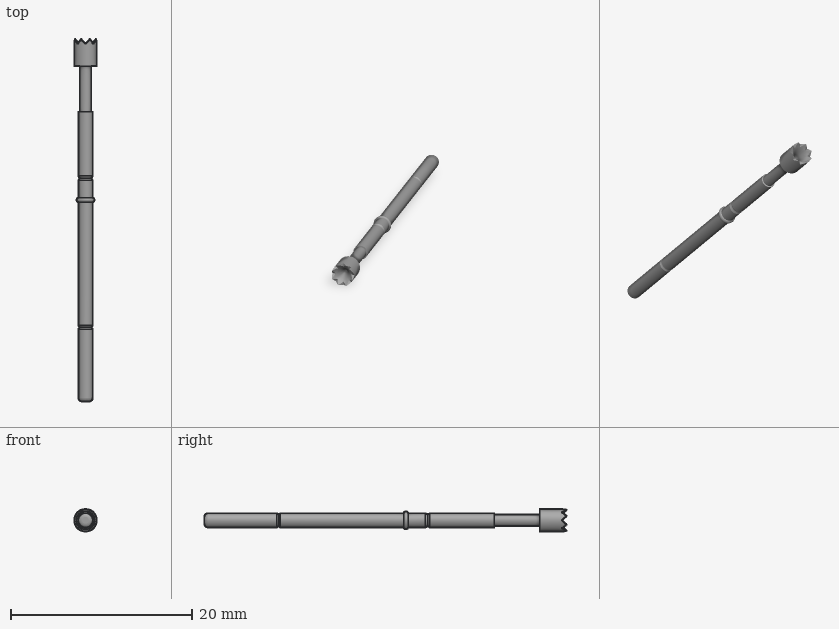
import cadquery as cq
import math

total_length = 40.0

head_radius = 1.25
head_length = 3.0
tooth_count = 8
tooth_pitch = 2 * math.pi / tooth_count
tooth_depth = 0.55
recess_depth = 1.5 * head_radius

plunger_radius = 0.65
barrel_start = 8.0
barrel_radius = 0.8

groove_depth = 0.15
front_groove_centre = 15.35
front_groove_width = 0.5
rear_groove_centre = 31.8
rear_groove_width = 0.4

ring_centre = 17.75
ring_radius = 1.0
ring_width = 0.5

tail_length = 0.4
tail_flat_radius = 0.375


def cylinder(radius, start, end):
    """Solid cylinder on the probe axis between two distances behind the tip."""
    return cq.Workplane("XZ", origin=(0, -start, 0)).circle(radius).extrude(end - start)


def revolve_about_axis(profile):
    """Turn an XY profile (X is the radius) about the probe axis."""
    return profile.close().revolve(360, (0, 0, 0), (0, 1, 0))


def make_head():
    """Cylindrical head with V cuts across its full diameter and a conical recess, leaving a ring of teeth."""
    recess = revolve_about_axis(
        cq.Workplane("XY")
        .moveTo(0, 0)
        .lineTo(head_radius, 0)
        .lineTo(0, -recess_depth)
    )
    head = cylinder(head_radius, 0, head_length).cut(recess)
    half_width = head_radius * math.sin(tooth_pitch / 2)
    cut_reach = 2 * head_radius
    v_cut = (
        cq.Workplane("XY")
        .moveTo(-half_width, 0)
        .lineTo(half_width, 0)
        .lineTo(0, -tooth_depth)
        .close()
        .extrude(cut_reach, both=True)
    )
    for index in range(tooth_count // 2):
        angle = math.degrees(index * tooth_pitch)
        head = head.cut(v_cut.rotate((0, 0, 0), (0, 1, 0), angle))
    return head


def make_barrel():
    """Solid barrel ending in a rounded tail with a small flat."""
    tail_start = total_length - tail_length
    arc_share = math.sqrt(0.5)
    tail_mid_radius = tail_flat_radius + (barrel_radius - tail_flat_radius) * arc_share
    tail_mid = tail_start + tail_length * arc_share
    return revolve_about_axis(
        cq.Workplane("XY")
        .moveTo(0, -barrel_start)
        .lineTo(barrel_radius, -barrel_start)
        .lineTo(barrel_radius, -tail_start)
        .threePointArc((tail_mid_radius, -tail_mid), (tail_flat_radius, -total_length))
        .lineTo(0, -total_length)
    )


def make_groove(centre, width):
    """Ring-shaped cutter with a V section."""
    return revolve_about_axis(
        cq.Workplane("XY")
        .moveTo(barrel_radius, -centre + width / 2)
        .lineTo(barrel_radius - groove_depth, -centre)
        .lineTo(barrel_radius, -centre - width / 2)
    )


def make_ring():
    """Press ring with a fully rounded rim."""
    rim_radius = ring_width / 2
    shoulder = ring_radius - rim_radius
    front = -ring_centre + rim_radius
    rear = -ring_centre - rim_radius
    return revolve_about_axis(
        cq.Workplane("XY")
        .moveTo(0, front)
        .lineTo(shoulder, front)
        .threePointArc((ring_radius, -ring_centre), (shoulder, rear))
        .lineTo(0, rear)
    )


barrel = make_barrel()
barrel = barrel.cut(make_groove(front_groove_centre, front_groove_width))
barrel = barrel.cut(make_groove(rear_groove_centre, rear_groove_width))
barrel = barrel.union(make_ring())

plunger = cylinder(plunger_radius, head_length, barrel_start)

result = make_head().union(plunger).union(barrel)